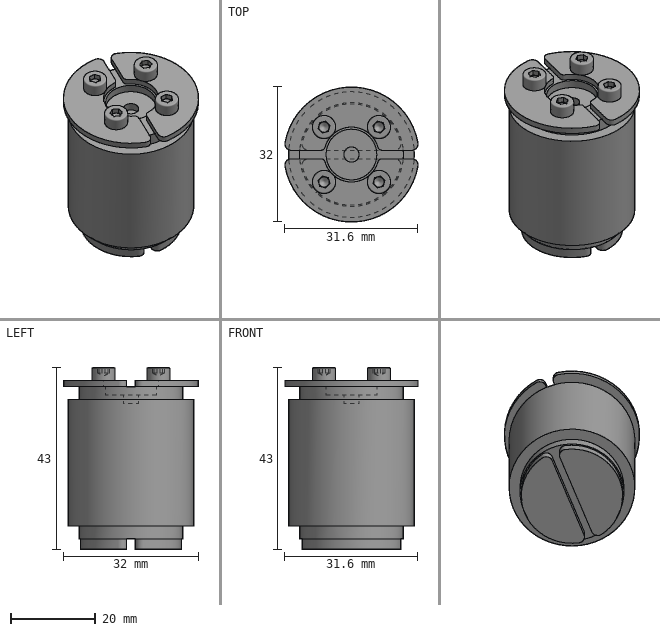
import cadquery as cq
import math

body_diameter = 29.8
body_height = 30.0
collar_diameter = 24.6
collar_height = 3.0

bottom_plate_diameter = 24.0
bottom_plate_thickness = 2.5
top_plate_diameter = 32.0
top_plate_thickness = 1.5
slot_width = 2.0
slot_corner_radius = 1.5

hub_diameter = 13.0
hub_corner_radius = 1.0
recess_diameter = 12.0
recess_depth = 2.0
centre_hole_diameter = 3.6
centre_hole_depth = 2.0

screw_spacing = 13.0
head_diameter = 5.5
head_height = 3.0
head_edge_radius = 0.3
socket_flats = 2.5
socket_depth = 1.3
socket_angle = -15.0
socket_cone_diameter = 2.46
socket_cone_angle = 120.0
screw_count = 4

match_tolerance = 0.01

bottom_collar_z = bottom_plate_thickness
body_z = bottom_collar_z + collar_height
top_collar_z = body_z + body_height
top_plate_z = top_collar_z + collar_height
screw_z = top_plate_z + top_plate_thickness
screw_top_z = screw_z + head_height


def disc(diameter, height, base_z):
    """Upright cylinder on the Z axis."""
    return cq.Workplane("XY").workplane(offset=base_z).circle(diameter / 2).extrude(height)


def slot_cutter(height, base_z):
    """Bar along X, longer than every plate, that splits a plate into two halves."""
    return (
        cq.Workplane("XY")
        .workplane(offset=base_z)
        .rect(2 * top_plate_diameter, slot_width)
        .extrude(height)
    )


def round_slot_corners(plate, circle_diameter, radius):
    """Round the upright edges where the slot walls meet a circle about the Z axis."""
    corner = cq.Vector(math.sqrt((circle_diameter / 2) ** 2 - (slot_width / 2) ** 2), slot_width / 2)
    corner_edges = [
        edge
        for edge in plate.edges("|Z").vals()
        if abs(abs(edge.Center().x) - corner.x) < match_tolerance
        and abs(abs(edge.Center().y) - corner.y) < match_tolerance
    ]
    return plate.newObject(corner_edges).fillet(radius)


def split_plate(diameter, thickness, base_z):
    """Disc cut in two by the slot, with rounded outer corners."""
    plate = disc(diameter, thickness, base_z).cut(slot_cutter(thickness, base_z))
    return round_slot_corners(plate, diameter, slot_corner_radius)


def top_plate():
    """Split plate with a round central opening blended into the slot."""
    plate = split_plate(top_plate_diameter, top_plate_thickness, top_plate_z)
    plate = plate.cut(disc(hub_diameter, top_plate_thickness, top_plate_z))
    return round_slot_corners(plate, hub_diameter, hub_corner_radius)


def turned_body():
    """Main cylinder between two collars, with a stepped blind hole in its top face."""
    body = disc(collar_diameter, collar_height, bottom_collar_z)
    body = body.union(disc(body_diameter, body_height, body_z))
    body = body.union(disc(collar_diameter, collar_height, top_collar_z))
    floor_z = top_plate_z - recess_depth
    body = body.cut(disc(recess_diameter, recess_depth, floor_z))
    return body.cut(disc(centre_hole_diameter, centre_hole_depth, floor_z - centre_hole_depth))


def screw_head():
    """Cylinder head on the Z axis with a hexagon socket that ends in a drill cone."""
    head = disc(head_diameter, head_height, screw_z).faces(">Z").edges().fillet(head_edge_radius)
    socket_floor_z = screw_top_z - socket_depth
    socket = (
        cq.Workplane("XY")
        .workplane(offset=socket_floor_z)
        .polygon(6, socket_flats, circumscribed=True)
        .extrude(socket_depth)
        .rotate((0, 0, 0), (0, 0, 1), socket_angle)
    )
    cone_radius = socket_cone_diameter / 2
    cone_depth = cone_radius / math.tan(math.radians(socket_cone_angle / 2))
    cone_tip = cq.Vector(0, 0, socket_floor_z - cone_depth)
    cone = cq.Workplane(cq.Solid.makeCone(0, cone_radius, cone_depth, pnt=cone_tip))
    return head.cut(socket).cut(cone)


result = turned_body()
result = result.union(split_plate(bottom_plate_diameter, bottom_plate_thickness, 0))
result = result.union(top_plate())
corner_screw = screw_head().translate((-screw_spacing / 2, screw_spacing / 2, 0))
for index in range(screw_count):
    turn = index * 360 / screw_count
    result = result.union(corner_screw.rotate((0, 0, 0), (0, 0, 1), turn))